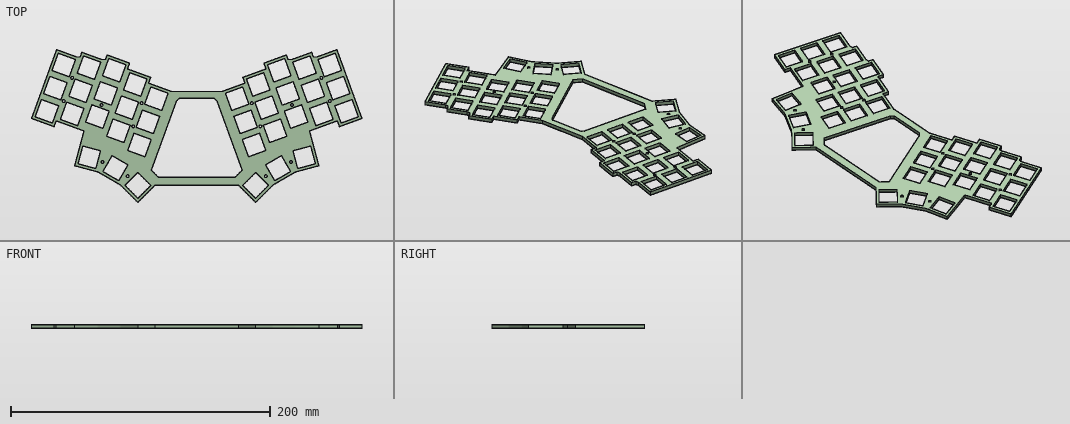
import cadquery as cq
import math


thickness = 3.0
key_opening = 14.0
key_rim = 2.3
key_gap = 0.38
key_half = key_opening / 2 + key_rim
key_pitch = 2 * key_half + key_gap
screw_diameter = 2.0

tilt = 20
first_column_across = 36.5
middle_column_along = -0.45
column_stagger = key_pitch / 4
stagger_steps = [2, 1, 0, 1, 2]
keys_per_column = 3
middle_row = 1

thumb_keys = [(83.0, -24.3, 15), (63.0, -32.7, 30), (45.5, -46.0, 45)]
thumb_screws = [(72.9, -27.9), (53.5, -38.9)]

outer_ledge_start = 7.2
second_ledge_start = 7.2

window_top = 21.2
window_bottom = -39.5
window_side_across = 21.2
window_top_chamfer = 2.0
window_bottom_chamfer = 5.4

INNER, SECOND_INNER, MIDDLE, SECOND_OUTER, OUTER = range(len(stagger_steps))
sin_tilt = math.sin(math.radians(tilt))
cos_tilt = math.cos(math.radians(tilt))


def tilted(across, along):
    """Turn a point of the finger-column frame into part coordinates (right half)."""
    return (across * cos_tilt - along * sin_tilt, across * sin_tilt + along * cos_tilt)


def column_across(column):
    return first_column_across + column * key_pitch


def column_along(column):
    return middle_column_along - stagger_steps[column] * column_stagger


def column_top(column):
    return column_along(column) + key_pitch + key_half


def column_bottom(column):
    return column_along(column) - key_pitch - key_half


def inner_side(column):
    return column_across(column) - key_half


def outer_side(column):
    return column_across(column) + key_half


def thumb_corner(thumb, side, end):
    """Corner of a thumb key's plate square; side and end are -1 or 1."""
    x, y, angle = thumb
    cos_a = math.cos(math.radians(angle))
    sin_a = math.sin(math.radians(angle))
    across = side * key_half
    along = end * key_half
    return (x + across * cos_a - along * sin_a, y + across * sin_a + along * cos_a)


def ledge(column, start):
    """Level step from a column's top edge to the taller column on its inner side."""
    start_point = tilted(column_across(column) - start, column_top(column))
    wall_x = (outer_side(column - 1) - start_point[1] * sin_tilt) / cos_tilt
    return [start_point, (wall_x, start_point[1])]


def wrist_corner():
    """Point where the outer thumb key's side meets the bottom edge of the second outer column."""
    x, y = thumb_corner(thumb_keys[0], 1, 1)
    angle = math.radians(thumb_keys[0][2])
    along_here = y * cos_tilt - x * sin_tilt
    along_rate = math.cos(angle) * cos_tilt + math.sin(angle) * sin_tilt
    travel = (column_bottom(SECOND_OUTER) - along_here) / along_rate
    return (x - travel * math.sin(angle), y + travel * math.cos(angle))


def mirrored_outline(right_points):
    """Solid prism from the right-half points, closed by their mirror image."""
    left_points = [(-x, y) for x, y in reversed(right_points)]
    return cq.Workplane("XY").polyline(right_points + left_points).close().extrude(thickness)


def on_both_halves(points):
    return points + [(-x, y) for x, y in points]


def plate_blank():
    outer_thumb, middle_thumb, inner_thumb = thumb_keys
    outline = [
        tilted(inner_side(INNER), column_top(INNER)),
        tilted(inner_side(SECOND_INNER), column_top(INNER)),
        tilted(inner_side(SECOND_INNER), column_top(SECOND_INNER)),
        tilted(inner_side(MIDDLE), column_top(SECOND_INNER)),
        tilted(inner_side(MIDDLE), column_top(MIDDLE)),
        tilted(outer_side(MIDDLE), column_top(MIDDLE)),
        *reversed(ledge(SECOND_OUTER, second_ledge_start)),
        tilted(outer_side(SECOND_OUTER), column_top(SECOND_OUTER)),
        *reversed(ledge(OUTER, outer_ledge_start)),
        tilted(outer_side(OUTER), column_top(OUTER)),
        tilted(outer_side(OUTER), column_bottom(OUTER)),
        tilted(inner_side(OUTER), column_bottom(OUTER)),
        tilted(inner_side(OUTER), column_bottom(SECOND_OUTER)),
        wrist_corner(),
        thumb_corner(outer_thumb, 1, -1),
        thumb_corner(outer_thumb, -1, -1),
        thumb_corner(middle_thumb, 1, -1),
        thumb_corner(middle_thumb, -1, -1),
        thumb_corner(inner_thumb, 1, -1),
        thumb_corner(inner_thumb, -1, -1),
        thumb_corner(inner_thumb, -1, 1),
    ]
    return mirrored_outline(outline)


def central_window():
    def side_x(y):
        return (window_side_across - y * sin_tilt) / cos_tilt

    upper_y = window_top - window_top_chamfer
    lower_y = window_bottom + window_bottom_chamfer
    return mirrored_outline([
        (side_x(upper_y) - window_top_chamfer, window_top),
        (side_x(upper_y), upper_y),
        (side_x(lower_y), lower_y),
        (side_x(lower_y) - window_bottom_chamfer, window_bottom),
    ])


def key_openings():
    """Square switch openings of both halves."""
    places = list(thumb_keys)
    for column in range(len(stagger_steps)):
        for row in range(keys_per_column):
            along = column_along(column) + (row - middle_row) * key_pitch
            places.append((*tilted(column_across(column), along), tilt))

    openings = cq.Workplane("XY")
    for x, y, angle in places:
        for side in (1, -1):
            opening = cq.Workplane("XY").rect(key_opening, key_opening).extrude(thickness)
            opening = opening.rotate((0, 0, 0), (0, 0, 1), side * angle)
            openings = openings.add(opening.translate((side * x, y, 0)))
    return openings.combine()


def screw_holes():
    """Small through holes between neighbouring keys."""
    half_pitch = key_pitch / 2
    points = list(thumb_screws)
    points.append(tilted(column_across(MIDDLE), column_along(MIDDLE) - half_pitch))
    for column in (INNER, SECOND_OUTER):
        across = column_across(column) + half_pitch
        along = (column_along(column) + column_along(column + 1)) / 2
        for offset in (-half_pitch, half_pitch):
            points.append(tilted(across, along + offset))
    return (
        cq.Workplane("XY")
        .pushPoints(on_both_halves(points))
        .circle(screw_diameter / 2)
        .extrude(thickness)
    )


result = plate_blank().cut(central_window()).cut(key_openings()).cut(screw_holes())